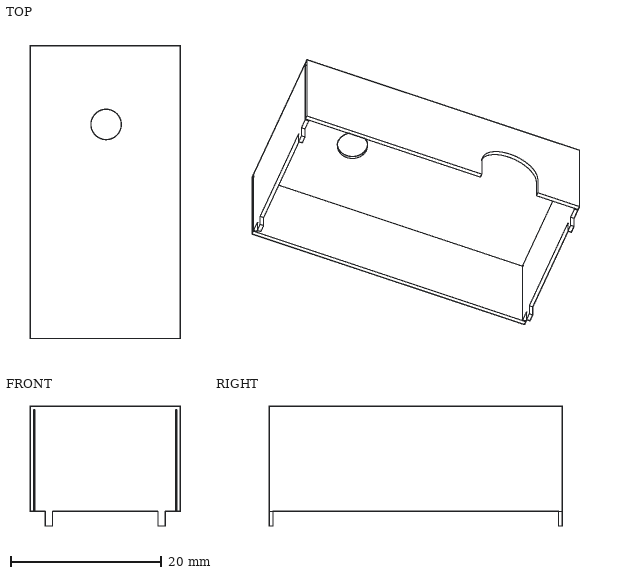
import cadquery as cq

length = 39.0
width = 20.0
height = 14.0
sheet = 0.5

slit_width = 0.1

pin_width = 1.0
pin_length = 2.0
pin_inset = 2.0

hole_diameter = 4.0
hole_x = 0.1
hole_y = 9.0

arch_width = 8.0
arch_height = 7.3
arch_y = -9.5


def block(x_size, y_size, z_size, x=0, y=0, z=0):
    """Box centred on (x, y), with its underside at z."""
    return cq.Workplane("XY").box(x_size, y_size, z_size, centered=(True, True, False)).translate((x, y, z))


def make_shell():
    cavity = block(width - 2 * sheet, length - 2 * sheet, height - sheet)
    return block(width, length, height).cut(cavity)


def cut_slits(body):
    slit_x = width / 2 - sheet - slit_width / 2
    for x in (-slit_x, slit_x):
        body = body.cut(block(slit_width, length, height - sheet, x))
    return body


def add_pins(body):
    pin_x = width / 2 - pin_inset - pin_width / 2
    pin_y = length / 2 - sheet / 2
    for x in (-pin_x, pin_x):
        for y in (-pin_y, pin_y):
            body = body.union(block(pin_width, sheet, pin_length + sheet, x, y, -pin_length))
    return body


def cut_roof_hole(body):
    hole = cq.Workplane("XY").center(hole_x, hole_y).circle(hole_diameter / 2).extrude(height)
    return body.cut(hole)


def cut_arch(body):
    radius = arch_width / 2
    spring_height = arch_height - radius
    arch = (
        cq.Workplane("YZ", origin=(-width / 2, arch_y, 0))
        .moveTo(-radius, 0)
        .lineTo(-radius, spring_height)
        .threePointArc((0, arch_height), (radius, spring_height))
        .lineTo(radius, 0)
        .close()
        .extrude(sheet)
    )
    return body.cut(arch)


cover = make_shell()
cover = cut_slits(cover)
cover = add_pins(cover)
cover = cut_roof_hole(cover)
result = cut_arch(cover)